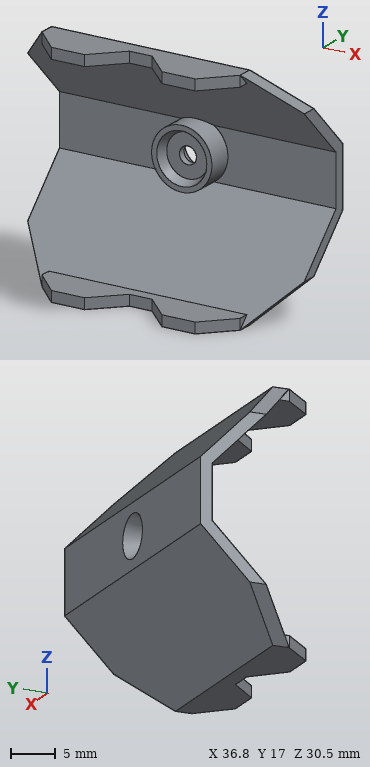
import cadquery as cq
import math


WIDTH = 36.75
DEPTH = 17.0
HEIGHT = 30.5
WALL = 1.45
BACK_FLAT = 7.95
CORNER_CUT = 5.22
TIP_CUT = 3.6
NOTCH_MOUTH = 10.3
NOTCH_ROOT = 3.0
BOSS_DIAMETER = 8.0
BOSS_FRONT = 4.78
SEAT_MOUTH = 6.65
SEAT_FLOOR = 5.62
SEAT_DEPTH = 1.3
RECESS_MOUTH = 5.33
RECESS_FLOOR = 3.3
RECESS_DEPTH = 2.55
HOLE_DIAMETER = 2.25

half_width = WIDTH / 2
half_height = HEIGHT / 2
outer_bend = BACK_FLAT / 2
inner_bend = outer_bend - WALL * math.tan(math.radians(22.5))
panel_top = half_height - outer_bend
panel_front = WALL + half_height - inner_bend
flange_half = half_width - CORNER_CUT
tip_half = flange_half - TIP_CUT
notch_depth = (NOTCH_MOUTH - NOTCH_ROOT) / 2

SIDE = cq.Plane(origin=(0, 0, 0), xDir=(0, -1, 0), normal=(-1, 0, 0))


def round_bar(diameter, start, end):
    """Cylinder on the Y axis between two forward distances."""
    return cq.Workplane("XZ").workplane(offset=start).circle(diameter / 2).extrude(end - start)


def bent_plate():
    """Flat back with two slanted panels, trimmed across its four corners."""
    profile = [
        (0, outer_bend),
        (panel_top, half_height),
        (panel_front, half_height),
        (WALL, inner_bend),
        (WALL, -inner_bend),
        (panel_front, -half_height),
        (panel_top, -half_height),
        (0, -outer_bend),
    ]
    plate = cq.Workplane(SIDE).polyline(profile).close().extrude(half_width, both=True)
    trim = (
        cq.Workplane("XZ")
        .rect(WIDTH, HEIGHT)
        .extrude(DEPTH)
        .edges("|Y")
        .chamfer(CORNER_CUT)
    )
    return plate.intersect(trim)


def flange(top):
    """Notched flange reaching forward from the edge of a slanted panel."""
    outline = [
        (-flange_half, panel_top),
        (-flange_half, panel_front),
        (-tip_half, DEPTH),
        (-NOTCH_MOUTH / 2, DEPTH),
        (-NOTCH_ROOT / 2, DEPTH - notch_depth),
        (NOTCH_ROOT / 2, DEPTH - notch_depth),
        (NOTCH_MOUTH / 2, DEPTH),
        (tip_half, DEPTH),
        (flange_half, panel_front),
        (flange_half, panel_top),
    ]
    sketch_plane = cq.Plane(origin=(0, 0, top), xDir=(1, 0, 0), normal=(0, 0, -1))
    blank = cq.Workplane(sketch_plane).polyline(outline).close().extrude(WALL)
    return blank.cut(behind_panels())


def behind_panels():
    """Space behind the outer faces of the slanted panels."""
    space = [
        (0, outer_bend),
        (panel_top, half_height),
        (0, half_height),
    ]
    upper = cq.Workplane(SIDE).polyline(space).close().extrude(half_width, both=True)
    return upper.union(upper.mirror("XY"))


def tapered_bar(start, start_diameter, end, end_diameter):
    """Truncated cone on the Y axis between two forward distances."""
    return (
        cq.Workplane("XZ")
        .workplane(offset=start)
        .circle(start_diameter / 2)
        .workplane(offset=end - start)
        .circle(end_diameter / 2)
        .loft(combine=True)
    )


result = bent_plate()
for flange_top in (half_height, WALL - half_height):
    result = result.union(flange(flange_top))

boss = round_bar(BOSS_DIAMETER, WALL / 2, BOSS_FRONT)
seat = tapered_bar(BOSS_FRONT - SEAT_DEPTH, SEAT_FLOOR, BOSS_FRONT, SEAT_MOUTH)
recess = tapered_bar(0, RECESS_MOUTH, RECESS_DEPTH, RECESS_FLOOR)
hole = round_bar(HOLE_DIAMETER, 0, BOSS_FRONT)
result = result.union(boss).cut(seat).cut(recess).cut(hole)